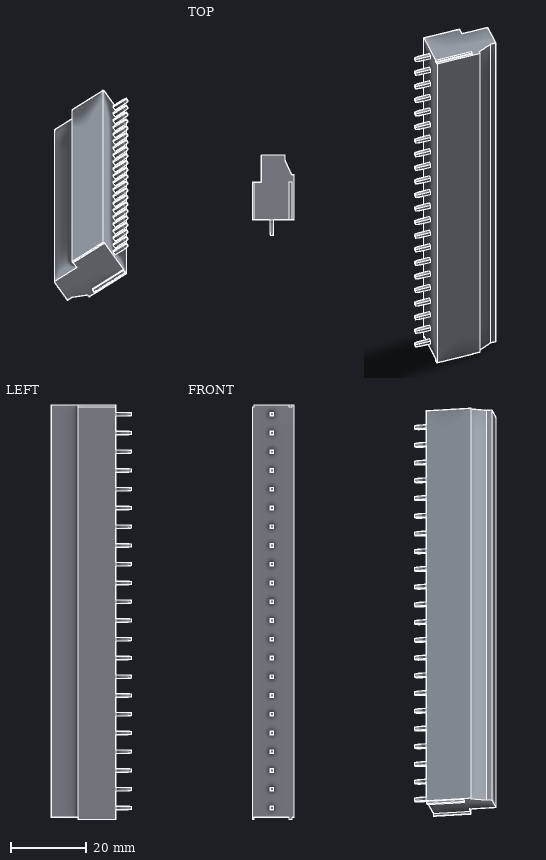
import cadquery as cq

pin_count = 22
total_height = 110.6
rib_height = 0.64
body_height = total_height - rib_height
pitch = body_height / pin_count

body_width = 11.2
total_depth = 21.6
pin_length = 4.2
body_depth = total_depth - pin_length
shoulder_y = 10.1
back_left_x = 2.3
back_chamfer = 0.2
back_right_x = 8.7
slope_back_y = body_depth - 1.4
slope_front_x = 10.5
slope_front_y = body_depth - 5.3

groove_depth = 0.5
left_rib_width = 0.4
right_rib_left_x = 9.7
right_rib_right_x = 10.6

pin_x = 5.2
pin_size = 1.0
tip_length = 1.0
tip_size = 0.8


def make_body():
    outline = [
        (0, 0),
        (body_width, 0),
        (body_width, slope_front_y),
        (slope_front_x, slope_front_y),
        (back_right_x, slope_back_y),
        (back_right_x, body_depth),
        (back_left_x + back_chamfer, body_depth),
        (back_left_x, body_depth - back_chamfer),
        (back_left_x, shoulder_y),
        (0, shoulder_y),
    ]
    return cq.Workplane("XY").polyline(outline).close().extrude(body_height)


def make_interlock(top_z, height):
    """Two rectangular bars along y that hang down from top_z, one near each side of the housing."""
    right_rib_width = right_rib_right_x - right_rib_left_x
    left = cq.Workplane("XY").box(left_rib_width, shoulder_y, height, centered=False)
    right = cq.Workplane("XY").box(right_rib_width, shoulder_y, height, centered=False)
    bars = left.union(right.translate((right_rib_left_x, 0, 0)))
    return bars.translate((0, 0, top_z - height))


def make_pin(z):
    """A square pin along -y with a tapered tip."""
    shank_length = pin_length - tip_length
    shank = cq.Workplane("XZ", origin=(pin_x, 0, z)).rect(pin_size, pin_size).extrude(shank_length)
    return (
        shank.faces("<Y").workplane(centerOption="CenterOfMass")
        .rect(pin_size, pin_size)
        .workplane(offset=tip_length)
        .rect(tip_size, tip_size)
        .loft(combine=True)
    )


upper_grooves = make_interlock(body_height, groove_depth)
lower_ribs = make_interlock(0, rib_height)
result = make_body().cut(upper_grooves).union(lower_ribs)
for index in range(pin_count):
    result = result.union(make_pin((index + 0.5) * pitch))